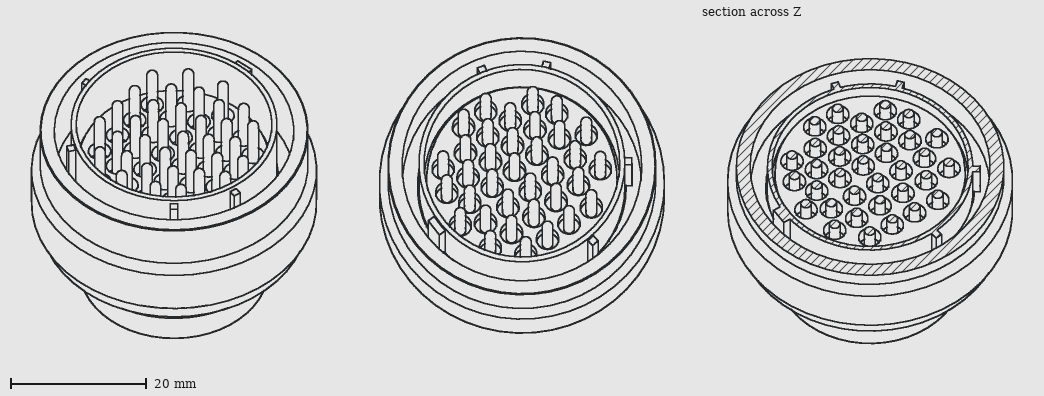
import cadquery as cq

REAR_TUBE_TOP = 6.3
RING_BOTTOM = 11.1
BAND_BOTTOM = 13.0
BAND_TOP = 22.8
RING_TOP = 30.05
SHELL_TOP = 31.5
TROUGH_DEPTH = 10.0
TROUGH_FLOOR = RING_TOP - TROUGH_DEPTH
KEY_TOP = 30.8
INSERT_TOP = 23.48
PIN_TIP = 30.65

REAR_TUBE_R = 14.0
THREAD_LEAD_R = 15.7
THREAD_CREST_R = 16.5
RING_R = 19.75
BAND_R = 21.0
TROUGH_R = 17.65
SHELL_R = 15.15
SHELL_BORE_R = 14.4
INSERT_R = 14.03
KEY_TIP_R = 16.2

RING_EDGE = 0.13
LEAD_LENGTH = 0.6
SHELL_GAP_R = 15.37
GAP_DEPTH = 1.0

PITCH = 1.43
GROOVE_DEPTH = 0.6
GROOVE_WIDTH = 0.8
GROOVE_ROOT_WIDTH = 0.13
GROOVE_START = 7.05
GROOVE_TURNS = 3.5
GROOVE_OVERCUT = 0.2

MAIN_KEY = (90, 2.75)
MINOR_KEY_WIDTH = 1.1
MINOR_KEY_ANGLES = (185, 235, 310, 345)

PIN_R = 0.8
PIN_WELL_R = 1.65
PIN_WELL_DEPTH = 2.5
SIX_ROW = (-10.12, -6.1, -1.97, 2.1, 6.2, 10.12)
FIVE_ROW = (-8.15, -4.0, 0.13, 4.25, 8.35)
PIN_COLUMNS = (
    (-9.65, (-5.55, -1.43, 2.5, 6.5)),
    (-5.75, SIX_ROW),
    (-2.23, FIVE_ROW),
    (-0.3, (-11.65, 11.55)),
    (1.65, FIVE_ROW),
    (4.9, SIX_ROW),
    (8.2, FIVE_ROW),
    (11.5, (-1.97, 2.1)),
)


def cylinder(radius, bottom, top):
    return cq.Workplane("XY").workplane(offset=bottom).circle(radius).extrude(top - bottom)


def threaded_barrel():
    """Collar with a 45 degree lead-in and a right-hand helical groove."""
    lead_top = REAR_TUBE_TOP + LEAD_LENGTH
    crest_start = lead_top + THREAD_CREST_R - THREAD_LEAD_R
    barrel = (
        cq.Workplane("XZ")
        .moveTo(0, REAR_TUBE_TOP)
        .lineTo(THREAD_LEAD_R, REAR_TUBE_TOP)
        .lineTo(THREAD_LEAD_R, lead_top)
        .lineTo(THREAD_CREST_R, crest_start)
        .lineTo(THREAD_CREST_R, BAND_BOTTOM)
        .lineTo(0, BAND_BOTTOM)
        .close()
        .revolve(360, (0, 0, 0), (0, 1, 0))
    )
    root_r = THREAD_CREST_R - GROOVE_DEPTH
    outer_r = THREAD_CREST_R + GROOVE_OVERCUT
    flank_slope = (GROOVE_WIDTH - GROOVE_ROOT_WIDTH) / 2 / GROOVE_DEPTH
    root_half = GROOVE_ROOT_WIDTH / 2
    outer_half = GROOVE_WIDTH / 2 + flank_slope * GROOVE_OVERCUT
    helix = cq.Wire.makeHelix(PITCH, PITCH * GROOVE_TURNS, root_r, cq.Vector(0, 0, GROOVE_START))
    groove = (
        cq.Workplane("XZ")
        .polyline([
            (root_r, GROOVE_START - root_half),
            (outer_r, GROOVE_START - outer_half),
            (outer_r, GROOVE_START + outer_half),
            (root_r, GROOVE_START + root_half),
        ])
        .close()
        .sweep(cq.Workplane(helix), isFrenet=True)
    )
    return barrel.cut(groove)


def coupling_ring():
    """Outer ring with a bevelled grip band, solid below the trough."""
    bevel = BAND_R - RING_R
    return (
        cq.Workplane("XZ")
        .moveTo(0, RING_BOTTOM)
        .lineTo(RING_R, RING_BOTTOM)
        .lineTo(RING_R, BAND_BOTTOM)
        .lineTo(BAND_R, BAND_BOTTOM + bevel)
        .lineTo(BAND_R, BAND_TOP - bevel)
        .lineTo(RING_R, BAND_TOP)
        .lineTo(RING_R, RING_TOP - RING_EDGE)
        .lineTo(RING_R - RING_EDGE, RING_TOP)
        .lineTo(TROUGH_R, RING_TOP)
        .lineTo(TROUGH_R, TROUGH_FLOOR)
        .lineTo(0, TROUGH_FLOOR)
        .close()
        .revolve(360, (0, 0, 0), (0, 1, 0))
    )


def shell_gap():
    """Narrow ring-shaped gap between the shell and the trough floor."""
    gap_bottom = TROUGH_FLOOR - GAP_DEPTH
    outer = cylinder(SHELL_GAP_R, gap_bottom, TROUGH_FLOOR)
    return outer.cut(cylinder(SHELL_R, gap_bottom, TROUGH_FLOOR))


def key(angle, width):
    """Straight key on the shell, from the trough floor up to KEY_TOP."""
    inner_r = (SHELL_BORE_R + SHELL_R) / 2
    return (
        cq.Workplane("XY")
        .workplane(offset=TROUGH_FLOOR)
        .center((inner_r + KEY_TIP_R) / 2, 0)
        .rect(KEY_TIP_R - inner_r, width)
        .extrude(KEY_TOP - TROUGH_FLOOR)
        .rotate((0, 0, 0), (0, 0, 1), angle)
    )


def keyed_shell():
    """Shell tube with its keys, and the insert standing inside it."""
    shell = cylinder(SHELL_R, TROUGH_FLOOR, SHELL_TOP)
    shell = shell.cut(cylinder(SHELL_BORE_R, INSERT_TOP - GAP_DEPTH, SHELL_TOP))
    shell = shell.union(cylinder(INSERT_R, TROUGH_FLOOR, INSERT_TOP))
    shell = shell.union(key(*MAIN_KEY))
    for angle in MINOR_KEY_ANGLES:
        shell = shell.union(key(angle, MINOR_KEY_WIDTH))
    return shell


def pin_places():
    return [(x, y) for x, column in PIN_COLUMNS for y in column]


def pins():
    """Pins with hemispherical tips, standing on the bottoms of their wells."""
    well_floor = INSERT_TOP - PIN_WELL_DEPTH
    tip_start = PIN_TIP - PIN_R
    arc_mid = PIN_R * 0.5 ** 0.5
    pin = (
        cq.Workplane("XZ")
        .moveTo(0, well_floor)
        .lineTo(PIN_R, well_floor)
        .lineTo(PIN_R, tip_start)
        .threePointArc((arc_mid, tip_start + arc_mid), (0, PIN_TIP))
        .close()
        .revolve(360, (0, 0, 0), (0, 1, 0))
        .val()
    )
    return cq.Workplane("XY").pushPoints(pin_places()).eachpoint(lambda place: pin.moved(place))


def pin_wells():
    return (
        cq.Workplane("XY")
        .workplane(offset=INSERT_TOP)
        .pushPoints(pin_places())
        .circle(PIN_WELL_R)
        .extrude(-PIN_WELL_DEPTH)
    )


body = cylinder(REAR_TUBE_R, 0, REAR_TUBE_TOP)
body = body.union(threaded_barrel())
body = body.union(coupling_ring()).cut(shell_gap()).union(keyed_shell())
result = body.cut(pin_wells()).union(pins())